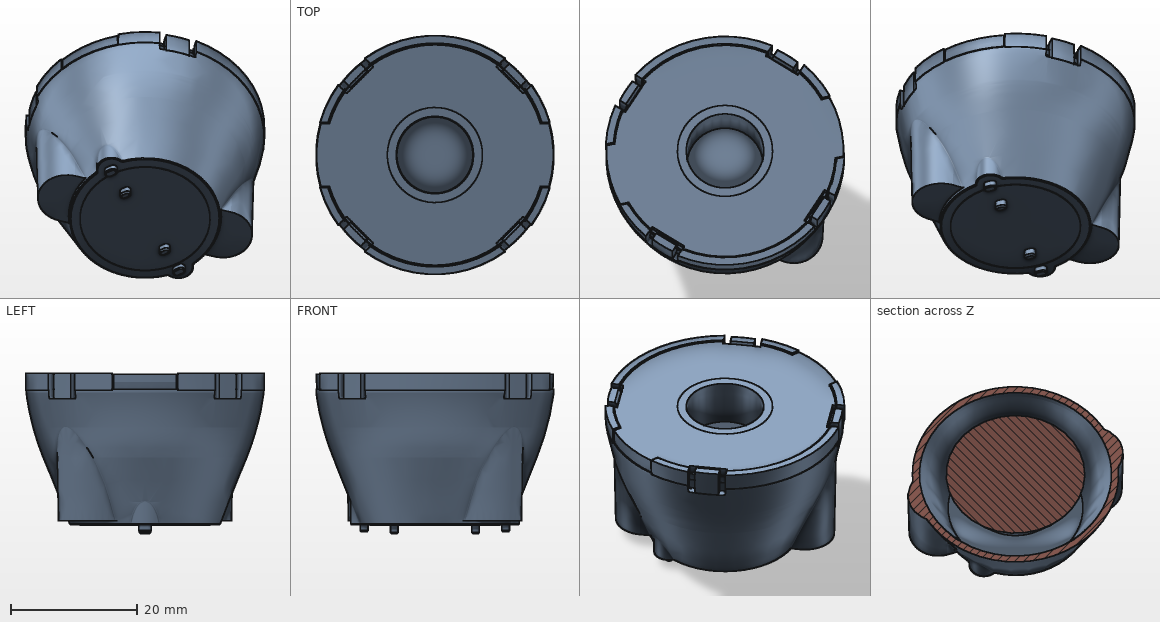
import cadquery as cq
import math

rim_radius = 18.9
rim_bottom = -2.72
band_radius = 18.82
band_bottom = -3.02
cone_radius, cone_top = 16.1, -13.35
base_radius, base_z = 11.87, -23.93
base_chamfer = 0.15
pad_radius, pad_height = 10.3, 0.1

lens_top = -0.15
lens_seat = -2.55
parting_z = -1.4
flange_radius = 17.45
edge_draft = 0.08
ear_radius = 18.75
ear_half_width = 4.95
optic_radius, optic_tip_radius, optic_tip = 16.65, 7.55, -18.9
side_gap = 0.23
rim_inner_radius = flange_radius + side_gap
window_half_width = ear_half_width + side_gap

wall = 1.2
cavity_neck_radius = 17.45
cavity_floor_radius, cavity_floor = 10.65, base_z + wall

ring_radius = 7.52
bore_radius, bore_floor_radius = 6.12, 6.0
bore_depth = 7.37
bore_floor = lens_top - bore_depth

clip_angles = [45 + 90 * i for i in range(4)]
clip_half_width = 1.9
slot_width = 1.1
clip_field_half_width = clip_half_width + slot_width
clip_outer_radius = 18.6
slot_bottom = -4.05
slot_fillet = 0.35
hook_top_reach, hook_nose_reach = 17.35, 16.95
hook_nose_z, hook_bottom = -0.55, -1.35
notch_reach = 16.75
ledge_reach = 17.2
ledge_z = parting_z
clip_back_reach = ledge_reach + 0.08
hook_clearance = notch_reach - 0.75
outside = rim_radius + 1.9
above = 0.38

leg_angles = (-45, 135)
leg_distance, leg_radius = 12.85, 4.6
leg_apex = -9.45
leg_bottom, leg_top, leg_draft = -23.35, -7.55, 1.0
boss_distance, boss_radius = 11.0, 2.35
boss_top = -18.9
pin_root = 0.38
outer_pin_distance = 11.2
outer_pin_size, outer_pin_tip, outer_pin_chamfer = (1.3, 2.05), -25.05, 0.2
inner_pin_distance = 6.43
inner_pin_size, inner_pin_tip, inner_pin_chamfer = (1.2, 1.8), -25.4, 0.25
boss_fillet = 0.38
leg_fillet = 0.23


def block(x_min, x_max, half_width, z_min, z_max):
    """Box symmetric about the XZ plane."""
    box = cq.Workplane("XY").box(x_max - x_min, 2 * half_width, z_max - z_min, centered=(False, True, False))
    return box.translate((x_min, 0, z_min))


def turned(angle, shape):
    return shape.rotate((0, 0, 0), (0, 0, 1), angle)


def disc(radius, z_min, z_max):
    return cq.Workplane("XY").workplane(offset=z_min).circle(radius).extrude(z_max - z_min)


def cone(bottom_radius, z_min, top_radius, z_max):
    outline = cq.Workplane("XZ").moveTo(0, z_min).lineTo(bottom_radius, z_min).lineTo(top_radius, z_max)
    return outline.lineTo(0, z_max).close().revolve(360, (0, 0), (0, 1))


def cup():
    """Solid of revolution: base, conical lower wall, bulging upper wall, band and rim."""
    outline = (
        cq.Workplane("XZ")
        .moveTo(0, base_z)
        .lineTo(base_radius, base_z)
        .lineTo(cone_radius, cone_top)
        .tangentArcPoint((band_radius, band_bottom), relative=False)
        .lineTo(band_radius, rim_bottom)
        .lineTo(rim_radius, rim_bottom)
        .lineTo(rim_radius, 0)
        .lineTo(0, 0)
        .close()
    )
    return outline.revolve(360, (0, 0), (0, 1))


def leg(angle):
    """U-shaped leg whose round end points away from the axis and which widens upwards."""
    outline = (
        cq.Workplane("XY")
        .workplane(offset=leg_bottom)
        .moveTo(0, -leg_radius)
        .lineTo(leg_distance, -leg_radius)
        .threePointArc((leg_distance + leg_radius, 0), (leg_distance, leg_radius))
        .lineTo(0, leg_radius)
        .close()
    )
    return turned(angle, outline.extrude(leg_top - leg_bottom, taper=-leg_draft))


def boss(side):
    return disc(boss_radius, base_z, boss_top).translate((side * boss_distance, 0, 0))


def pin(x, size, tip, chamfer):
    """Oblong locating pin, long across Y, with a chamfered tip."""
    width, length = size
    height = base_z + pin_root - tip
    body = cq.Workplane("XY").workplane(offset=tip).slot2D(length, width, 90).extrude(height)
    return body.faces("<Z").chamfer(chamfer).translate((x, 0, 0))


def cavity():
    """Hollow of the housing, leaving stock on the rim wall for the clip hooks."""
    seat = disc(rim_inner_radius, slot_bottom, above)
    for angle in clip_angles:
        hook_stock = block(hook_nose_reach, outside, clip_half_width, slot_bottom, above)
        seat = seat.cut(turned(angle, hook_stock))
    hollow = (
        cq.Workplane("XZ")
        .moveTo(0, cavity_floor)
        .lineTo(cavity_floor_radius, cavity_floor)
        .lineTo(cone_radius - wall, cone_top)
        .tangentArcPoint((cavity_neck_radius, slot_bottom), relative=False)
        .lineTo(0, slot_bottom)
        .close()
        .revolve(360, (0, 0), (0, 1))
    )
    return seat.union(hollow)


def optic():
    return cone(optic_tip_radius, optic_tip, optic_radius, lens_seat)


def clip_field_cut(angle):
    """Clears the rim around one clip, leaving the clip itself standing."""
    field = block(notch_reach, outside, clip_field_half_width, slot_bottom, above)
    field = field.edges("|X and <Z").fillet(slot_fillet)
    web = block(0, outside, clip_half_width, slot_bottom, above).intersect(
        disc(clip_outer_radius, slot_bottom, above)
    )
    return turned(angle, field.cut(web))


def hook_cut(angle):
    """Shapes the inner face of a clip into a hook that reaches over the lens ledge."""
    outline = (
        cq.Workplane("XZ", origin=(0, clip_half_width, 0))
        .moveTo(hook_clearance, 0)
        .lineTo(hook_top_reach, 0)
        .lineTo(hook_nose_reach, hook_nose_z)
        .lineTo(hook_nose_reach, hook_bottom)
        .lineTo(clip_back_reach, hook_bottom)
        .lineTo(clip_back_reach, slot_bottom)
        .lineTo(hook_clearance, slot_bottom)
        .close()
    )
    return turned(angle, outline.extrude(2 * clip_half_width))


def cone_height(radius):
    """Height at which the conical wall of the cup has the given radius."""
    return base_z + (cone_top - base_z) * (radius - base_radius) / (cone_radius - base_radius)


def fillet_joint(body, angle, reach, z, radius):
    """Rounds the joint with the cup whose uppermost point is at the given angle, reach and height."""
    x = reach * math.cos(math.radians(angle))
    y = reach * math.sin(math.radians(angle))
    return body.edges(cq.NearestToPointSelector((x, y, z))).fillet(radius)


def outer_form():
    """Cup with its legs and bosses, their joints rounded, and with the raised pad and pins below it."""
    body = cup()
    for angle in leg_angles:
        body = body.union(leg(angle))
    for side in (-1, 1):
        body = body.union(boss(side))
    for angle in leg_angles:
        body = fillet_joint(body, angle, leg_distance + leg_radius, leg_apex, leg_fillet)
    for angle in (0, 180):
        boss_reach = boss_distance + boss_radius
        body = fillet_joint(body, angle, boss_reach, cone_height(boss_reach), boss_fillet)
    body = body.faces("<Z").chamfer(base_chamfer)

    body = body.union(disc(pad_radius, base_z - pad_height, base_z))
    for side in (-1, 1):
        body = body.union(pin(side * outer_pin_distance, outer_pin_size, outer_pin_tip, outer_pin_chamfer))
        body = body.union(pin(side * inner_pin_distance, inner_pin_size, inner_pin_tip, inner_pin_chamfer))
    return body


def make_housing():
    body = outer_form().cut(cavity())

    window = block(-outside, outside, window_half_width, lens_seat, above)
    rim_relief = block(-outside, outside, window_half_width, rim_bottom, above)
    rim_relief = rim_relief.cut(disc(band_radius, rim_bottom, above))
    body = body.cut(window).cut(rim_relief)

    for angle in clip_angles:
        body = body.cut(clip_field_cut(angle)).cut(hook_cut(angle))
    return body


def flange_blank(radius):
    """Disc whose edge is straight above the parting line and drafted below it."""
    straight = disc(radius, parting_z, lens_top)
    return straight.union(cone(radius - edge_draft, lens_seat, radius, parting_z))


def make_lens():
    ears = flange_blank(ear_radius).intersect(
        block(-outside, outside, ear_half_width, lens_seat, lens_top)
    )
    body = flange_blank(flange_radius).union(ears).union(optic())
    for angle in clip_angles:
        notch = block(notch_reach, outside, clip_field_half_width, ledge_z, above)
        flat = block(ledge_reach, outside, clip_field_half_width, lens_seat, above)
        body = body.cut(turned(angle, notch.union(flat)))
    return body.cut(disc(ring_radius, bore_floor, lens_top))


def make_ring():
    """Sleeve in the middle of the lens; its bore narrows slightly towards the floor."""
    bore = cone(bore_floor_radius, bore_floor, bore_radius, lens_top)
    return disc(ring_radius, bore_floor, lens_top).cut(bore)


housing = make_housing()
lens = make_lens()
ring = make_ring()

result = cq.Compound.makeCompound([housing.solids().val(), lens.solids().val(), ring.solids().val()])